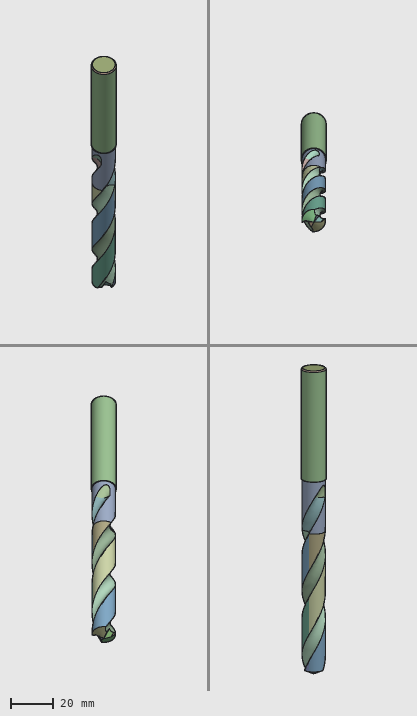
import cadquery as cq
import math

total_length = 151.0
joint_height = 70.5
neck_top = 96.2

grip_diameter = 12.0
drill_diameter = 11.2
top_chamfer = 0.6
point_angle = 130.0

flute_count = 2
flute_pitch = 62.8
flute_core_radius = 3.0
flute_half_angle = 37.0
flute_joint_angle = 141.0
flute_end_height = 87.6
runout_angle = 17.0
runout_length = 18.1

gash_direction = -52.0
gash_reach = 6.0
gash_climb = 60.0
gash_wall_angle = 57.0
gash_half_width = 2.1

drill_radius = drill_diameter / 2
point_height = drill_radius / math.tan(math.radians(point_angle / 2))
helix_angle = math.atan(math.pi * drill_diameter / flute_pitch)

edge_x = drill_radius * math.cos(math.radians(flute_half_angle))
edge_y = drill_radius * math.sin(math.radians(flute_half_angle))
flute_depth_at_edges = edge_x - flute_core_radius
flute_radius = (flute_depth_at_edges**2 + edge_y**2) / (2 * flute_depth_at_edges)
flute_center = flute_core_radius + flute_radius


def turn_per_length(length):
    """Angle in degrees that a flute turns over a length of the drill."""
    return 360 * length / flute_pitch


def flute_section(height):
    """Circular section of a flute that lies toward +X."""
    center = cq.Vector(flute_center, 0, height)
    return cq.Wire.makeCircle(flute_radius, center, cq.Vector(0, 0, 1))


def flute_cutter(start_angle):
    """Helical flute from the point up to the run-out."""
    wire = flute_section(0)
    helix = cq.Solid.extrudeLinearWithRotation(
        wire, [], cq.Vector(0, 0, 0), cq.Vector(0, 0, flute_end_height), turn_per_length(flute_end_height)
    )
    return cq.Workplane(helix).rotate((0, 0, 0), (0, 0, 1), start_angle)


def runout_cutter(end_angle):
    """Straight continuation of a flute that leans outward until it leaves the neck."""
    wire = flute_section(flute_end_height)
    sideways = runout_length * math.tan(helix_angle)
    outward = runout_length * math.tan(math.radians(runout_angle))
    runout = cq.Solid.extrudeLinear(wire, [], cq.Vector(outward, sideways, runout_length))
    return cq.Workplane(runout).rotate((0, 0, 0), (0, 0, 1), end_angle)


def cut_flutes(body):
    bottom_angle = flute_joint_angle - turn_per_length(joint_height)
    for i in range(flute_count):
        start = bottom_angle + i * 360 / flute_count
        body = body.cut(flute_cutter(start))
        body = body.cut(runout_cutter(start + turn_per_length(flute_end_height)))
    return body


def gash_cutter():
    """Slot with a V-shaped roof whose ridge climbs outward from the drill axis along -Y."""
    drop = gash_half_width * math.tan(math.radians(gash_wall_angle))
    climb = gash_reach * math.tan(math.radians(gash_climb))
    depth = drop + climb
    outline = [
        (0, 0),
        (gash_half_width, -drop),
        (gash_half_width, -depth),
        (-gash_half_width, -depth),
        (-gash_half_width, -drop),
    ]
    wire = cq.Wire.makePolygon([cq.Vector(x, 0, z) for x, z in outline], close=True)
    gash = cq.Solid.extrudeLinear(wire, [], cq.Vector(0, -gash_reach, climb))
    return cq.Workplane(gash)


def cut_gashes(body):
    for i in range(flute_count):
        turn = 90 + gash_direction + i * 360 / flute_count
        body = body.cut(gash_cutter().rotate((0, 0, 0), (0, 0, 1), turn))
    return body


def make_shank():
    neck = cq.Workplane("XY").workplane(offset=joint_height).circle(drill_radius)
    neck = neck.extrude(neck_top - joint_height)
    grip = cq.Workplane("XY").workplane(offset=neck_top).circle(grip_diameter / 2)
    grip = grip.extrude(total_length - neck_top).faces(">Z").chamfer(top_chamfer)
    return cut_flutes(neck).union(grip)


def make_cutting_head():
    profile = cq.Workplane("XZ").polyline(
        [(0, 0), (drill_radius, point_height), (drill_radius, joint_height), (0, joint_height)]
    )
    blank = profile.close().revolve(360, (0, 0, 0), (0, 1, 0))
    return cut_gashes(cut_flutes(blank))


shank = make_shank()
cutting_head = make_cutting_head()
result = cq.Compound.makeCompound([shank.val(), cutting_head.val()])